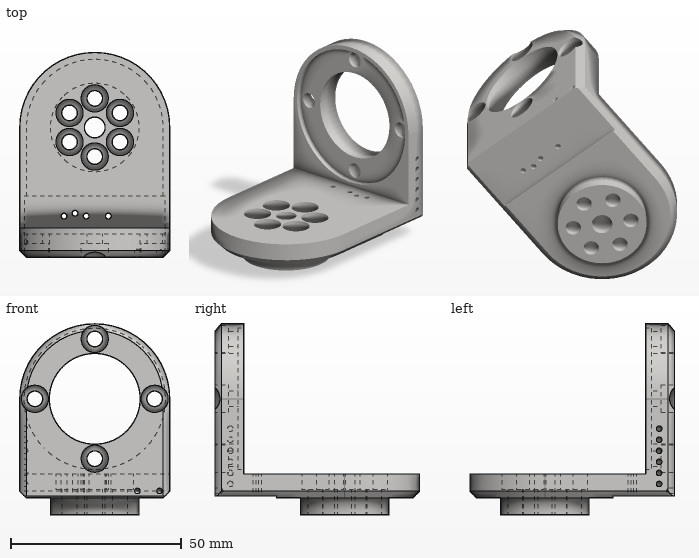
import cadquery as cq
import math

width = 44.0
length = 60.0
height = 56.0
end_radius = width / 2

wall_thickness = 8.5
base_top = 12.0
base_bottom = 5.0
edge_chamfer = 2.0
base_center_y = length - end_radius
wall_center_z = height - end_radius

boss_diameter = 26.0
step_depth = 0.55
step_length = 18.0

wall_bore_diameter = 26.5
wall_recess_diameter = 41.4
wall_recess_depth = 1.7
base_bore_diameter = 6.0
screw_diameter = 4.5
counterbore_diameter = 8.0
counterbore_depth_base = 4.5
counterbore_depth_wall = 4.0
base_screw_circle_radius = 8.5
base_screw_count = 6
wall_screw_circle_radius = 17.5
wall_screw_count = 4

mark_diameter = 1.6
mark_pitch = 3.25
mark_depth = 2.0
mark_tip_angle = 118
mark_tip_depth = mark_diameter / 2 / math.tan(math.radians(mark_tip_angle / 2))
side_mark_count = 6
side_mark_y = 4.55
side_mark_first_z = 9.05
front_mark_z = 7.0
front_mark_first_x = 12.5
base_mark_first_x = -9.0
base_mark_y = 12.05
offset_mark_y = 12.9

inward = (0, 1, 0)
down = (0, 0, -1)
sideways = (1, 0, 0)


def arched_outline(plane, bottom, center):
    """Rectangle from bottom to center, closed by a half circle of the full width."""
    return (
        cq.Workplane(plane)
        .moveTo(-end_radius, bottom)
        .lineTo(-end_radius, center)
        .threePointArc((0, center + end_radius), (end_radius, center))
        .lineTo(end_radius, bottom)
        .close()
    )


def bracket_body():
    """L-section trimmed to an arched outline, with chamfered rims, along Y and along Z."""
    section = (
        cq.Workplane("YZ")
        .moveTo(0, base_bottom + step_depth)
        .lineTo(step_length, base_bottom + step_depth)
        .lineTo(step_length, base_bottom)
        .lineTo(length, base_bottom)
        .lineTo(length, base_top)
        .lineTo(wall_thickness, base_top)
        .lineTo(wall_thickness, height)
        .lineTo(0, height)
        .close()
        .extrude(end_radius, both=True)
    )
    overrun = 2 * edge_chamfer
    front_prism = arched_outline("XZ", -overrun, wall_center_z).extrude(-length)
    front_prism = front_prism.faces("<Y").chamfer(edge_chamfer)
    plan_prism = arched_outline("XY", -overrun, base_center_y).extrude(height)
    plan_prism = plan_prism.faces("<Z").chamfer(edge_chamfer).translate((0, 0, base_bottom))
    return section.intersect(front_prism).intersect(plan_prism)


def cylinder(diameter, depth, start, direction):
    return cq.Workplane(
        cq.Solid.makeCylinder(diameter / 2, depth, cq.Vector(*start), cq.Vector(*direction))
    )


def counterbored_hole(start, direction, reach, counterbore_depth):
    """Screw clearance hole with its counterbore opening at start."""
    clearance = cylinder(screw_diameter, reach, start, direction)
    return clearance.union(cylinder(counterbore_diameter, counterbore_depth, start, direction))


def blind_mark(start, direction):
    """Blind hole of full diameter down to mark_depth, ending in a conical drill tip."""
    axis = cq.Vector(*direction)
    tip_start = cq.Vector(*start) + axis * mark_depth
    tip = cq.Solid.makeCone(mark_diameter / 2, 0, mark_tip_depth, tip_start, axis)
    return cylinder(mark_diameter, mark_depth, start, direction).union(cq.Workplane(tip))


def circle_points(count, radius):
    """Evenly spaced points on a circle, the first one straight up."""
    angles = [math.pi / 2 + 2 * math.pi * i / count for i in range(count)]
    return [(radius * math.cos(angle), radius * math.sin(angle)) for angle in angles]


boss = cylinder(boss_diameter, base_bottom, (0, base_center_y, base_bottom), down)
result = bracket_body().union(boss)

result = result.cut(cylinder(wall_bore_diameter, wall_thickness, (0, 0, wall_center_z), inward))
result = result.cut(cylinder(base_bore_diameter, base_top, (0, base_center_y, base_top), down))

recess_start = (0, wall_thickness - wall_recess_depth, wall_center_z)
result = result.cut(cylinder(wall_recess_diameter, wall_recess_depth, recess_start, inward))

for x, y in circle_points(base_screw_count, base_screw_circle_radius):
    start = (x, base_center_y + y, base_top)
    result = result.cut(counterbored_hole(start, down, base_top, counterbore_depth_base))
for x, z in circle_points(wall_screw_count, wall_screw_circle_radius):
    start = (x, 0, wall_center_z + z)
    result = result.cut(counterbored_hole(start, inward, wall_thickness, counterbore_depth_wall))

for i in range(side_mark_count):
    start = (-end_radius, side_mark_y, side_mark_first_z + i * mark_pitch)
    result = result.cut(blind_mark(start, sideways))

for steps in (0, 2):
    start = (front_mark_first_x + steps * mark_pitch, 0, front_mark_z)
    result = result.cut(blind_mark(start, inward))

for steps, y in ((0, base_mark_y), (1, offset_mark_y), (2, base_mark_y), (4, base_mark_y)):
    start = (base_mark_first_x + steps * mark_pitch, y, base_top)
    result = result.cut(cylinder(mark_diameter, base_top - base_bottom, start, down))